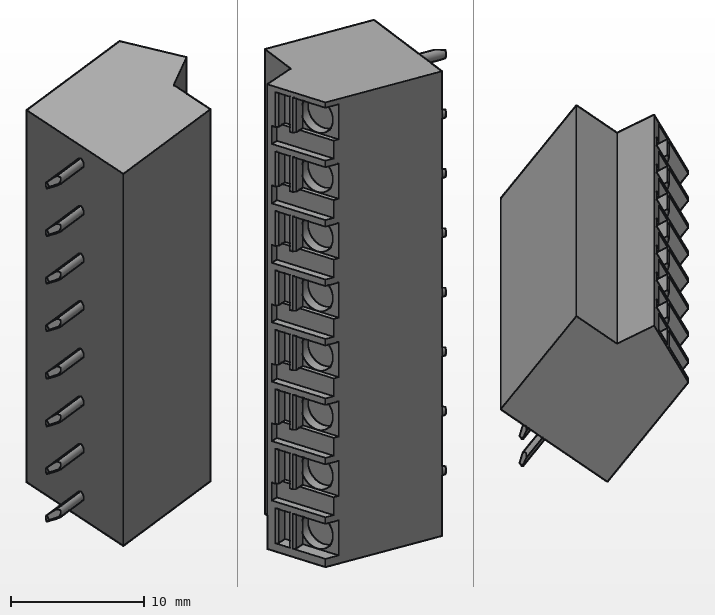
import cadquery as cq
import math

POLES = 8
PITCH = 5.0
LAST_POLE_HEIGHT = 4.1
HEIGHT = (POLES - 1) * PITCH + LAST_POLE_HEIGHT

WIDTH = 10.0
DEPTH = 12.4
SLOPE_START_Y = 10.2
RIDGE_X = 4.85
VALLEY_X = 6.2
BACK_Y = 9.55
SLOPE_ANGLE = math.degrees(math.atan2(DEPTH - SLOPE_START_Y, RIDGE_X))

POLE_TOP_WALL = 0.45
ENTRY_HEIGHT = 2.95
ENTRY_DEPTH = 1.05
ENTRY_END_S = 2.8
ENTRY_CHAMFER = 0.19
BORE_DIAMETER = 2.9
BORE_DEPTH = 0.9
BORE_S = 1.5

SLOT_START_S = 3.25
SLOT_END_S = 4.4
SLOT_DEPTH = 1.0
SLOT_CHAMFER = 0.18

NOTCH_HEIGHT = 1.5
NOTCH_DEPTH = 0.65
NOTCH_END_S = 4.9

PIN_X = 5.6
PIN_BELOW_POLE_TOP = 1.8
PIN_LENGTH = 3.5
PIN_THICKNESS = 0.66
PIN_HEIGHT = 1.0
BEVEL_LENGTH = 1.1
BEVEL_TILT = 35.0
BEVEL_START_OFFSET = 0.38
BEVEL_TIP_OFFSET = 0.03

CUT_MARGIN = 2.0


def make_housing():
    outline = [
        (0, 0),
        (WIDTH, 0),
        (WIDTH, BACK_Y),
        (VALLEY_X, BACK_Y),
        (RIDGE_X, DEPTH),
        (0, SLOPE_START_Y),
    ]
    return cq.Workplane("XY").polyline(outline).close().extrude(HEIGHT)


def on_slope(tool):
    """Move a tool drawn with the sloped face as its y = 0 line onto the housing."""
    tilted = tool.rotate((0, 0, 0), (0, 0, 1), SLOPE_ANGLE)
    return tilted.translate((0, SLOPE_START_Y, 0))


def recess(start_s, end_s, depth, chamfer, height):
    """Recess running from start_s to end_s, with its far upper edge chamfered."""
    outline = [
        (start_s, -depth),
        (end_s, -depth),
        (end_s, -chamfer),
        (end_s + chamfer, 0),
        (end_s + chamfer, CUT_MARGIN),
        (start_s, CUT_MARGIN),
    ]
    return cq.Workplane("XY").polyline(outline).close().extrude(height)


def make_entry_cutter():
    """Wire entry, its round bore and the slot behind it, with z = 0 at the lower side."""
    entry = recess(-CUT_MARGIN, ENTRY_END_S, ENTRY_DEPTH, ENTRY_CHAMFER, ENTRY_HEIGHT)
    slot = recess(SLOT_START_S, SLOT_END_S, SLOT_DEPTH, SLOT_CHAMFER, ENTRY_HEIGHT)
    bore = (
        cq.Workplane("XZ", origin=(BORE_S, -ENTRY_DEPTH, ENTRY_HEIGHT / 2))
        .circle(BORE_DIAMETER / 2)
        .extrude(BORE_DEPTH)
    )
    return on_slope(entry.union(slot).union(bore))


def make_notch_cutter():
    length = NOTCH_END_S + CUT_MARGIN
    notch = cq.Workplane("XY").box(length, NOTCH_DEPTH + CUT_MARGIN, NOTCH_HEIGHT, centered=False)
    return on_slope(notch.translate((-CUT_MARGIN, -NOTCH_DEPTH, 0)))


def make_pin():
    """Pin centred on the Y axis, from the housing front at y = 0 to its tip."""
    half_thickness = PIN_THICKNESS / 2
    half_height = PIN_HEIGHT / 2
    blank = (
        cq.Workplane("XZ")
        .moveTo(0, -half_height)
        .threePointArc((half_thickness, 0), (0, half_height))
        .threePointArc((-half_thickness, 0), (0, -half_height))
        .close()
        .extrude(PIN_LENGTH)
    )
    bevel = (
        cq.Workplane("XY")
        .moveTo(BEVEL_START_OFFSET, BEVEL_LENGTH - PIN_LENGTH)
        .lineTo(PIN_HEIGHT, BEVEL_LENGTH - PIN_LENGTH)
        .lineTo(PIN_HEIGHT, -PIN_LENGTH)
        .lineTo(BEVEL_TIP_OFFSET, -PIN_LENGTH)
        .close()
        .extrude(PIN_HEIGHT, both=True)
    )
    for tilt in (-BEVEL_TILT, BEVEL_TILT):
        blank = blank.cut(bevel.rotate((0, 0, 0), (0, 1, 0), tilt))
    return blank


entry_cutter = make_entry_cutter()
notch_cutter = make_notch_cutter()
pin = make_pin()

result = make_housing()
for pole in range(POLES):
    pole_top = HEIGHT - pole * PITCH
    entry_bottom = pole_top - POLE_TOP_WALL - ENTRY_HEIGHT
    result = result.cut(entry_cutter.translate((0, 0, entry_bottom)))
    if pole < POLES - 1:
        result = result.cut(notch_cutter.translate((0, 0, entry_bottom - NOTCH_HEIGHT)))
    result = result.union(pin.translate((PIN_X, 0, pole_top - PIN_BELOW_POLE_TOP)))